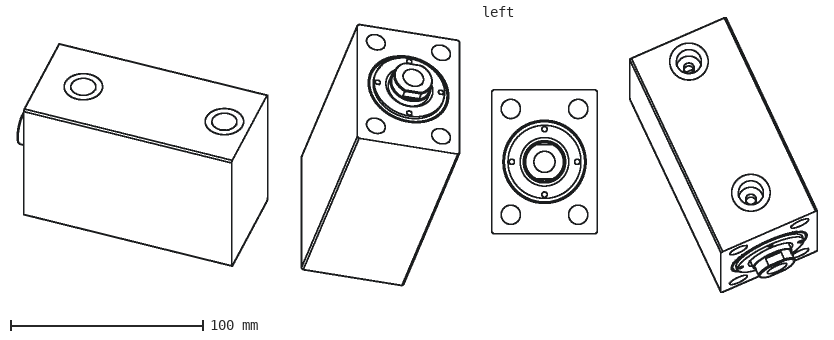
import cadquery as cq
import math

OVERALL_LENGTH = 125.0
HOUSING_WIDTH = 55.0
HOUSING_HEIGHT = 75.0
FACE_X = 10.0
EDGE_CHAMFER = 1.0

BORE_RADIUS = 20.0
BORE_END_X = 111.0
GLAND_RADIUS = 20.9
GLAND_DEPTH = 15.0
SEAT_CHAMFER = 0.8

FLANGE_RADIUS = 19.0
FLANGE_STICKOUT = 1.8
ROD_MOUTH_CHAMFER = 1.6
WRENCH_HOLE_DIAMETER = 2.8
WRENCH_HOLE_DEPTH = 3.8
WRENCH_HOLE_COUNT = 4
WRENCH_CIRCLE_RADIUS = 17.0

ROD_RADIUS = 11.0
TIP_RADIUS = 10.2
TIP_LENGTH = 5.8
TIP_CHAMFER_LENGTH = 0.6
TIP_CHAMFER_HEIGHT = 0.4
FLAT_HALF_WIDTH = 9.2
FLAT_LENGTH = 4.9
ROD_HOLE_DIAMETER = 11.0
ROD_HOLE_DEPTH = 20.0

MOUNT_HOLE_DIAMETER = 10.0
MOUNT_HOLE_DEPTH = 25.0
MOUNT_SPACING_Y = 35.0
MOUNT_SPACING_Z = 55.0

PORT_CENTRES_X = (FACE_X + 23.0, BORE_END_X)
PORT_DIAMETER = 13.0
PORT_DEPTH = 12.0
PORT_SPOTFACE_DIAMETER = 20.0
PORT_SPOTFACE_DEPTH = 0.1
PORT_FEED_DIAMETER = 5.5

DRILL_POINT_ANGLE = 118.0

SEAT_X = FACE_X + GLAND_DEPTH
FLANGE_X = FACE_X - FLANGE_STICKOUT


def revolve_about_x(outline):
    """Turn a closed (x, radius) outline about the X axis."""
    return cq.Workplane("XY").polyline(outline).close().revolve(360, (0, 0, 0), (1, 0, 0))


def drilled_hole(x, y, z, diameter, depth):
    """Blind hole running toward +X, with a conical drill point."""
    radius = diameter / 2
    point_length = radius / math.tan(math.radians(DRILL_POINT_ANGLE / 2))
    outline = [(0, 0), (0, radius), (depth, radius), (depth + point_length, 0)]
    return revolve_about_x(outline).translate((x, y, z))


def oil_port(x):
    """Spotface, port and feed hole whose flat bottom touches the bore's crown."""
    top = HOUSING_HEIGHT / 2
    steps = (
        (PORT_SPOTFACE_DIAMETER, PORT_SPOTFACE_DEPTH),
        (PORT_DIAMETER, PORT_DEPTH),
        (PORT_FEED_DIAMETER, top - BORE_RADIUS),
    )
    port = cq.Workplane("XY")
    for diameter, depth in steps:
        step = cq.Workplane("XY", origin=(x, 0, top)).circle(diameter / 2).extrude(-depth)
        port = port.union(step)
    return port


def make_housing():
    length = OVERALL_LENGTH - FACE_X
    housing = (
        cq.Workplane("XY")
        .box(length, HOUSING_WIDTH, HOUSING_HEIGHT)
        .translate((FACE_X + length / 2, 0, 0))
        .edges("|X")
        .chamfer(EDGE_CHAMFER)
    )
    cavity = revolve_about_x([
        (FACE_X, 0),
        (FACE_X, GLAND_RADIUS + SEAT_CHAMFER),
        (FACE_X + SEAT_CHAMFER, GLAND_RADIUS),
        (SEAT_X, GLAND_RADIUS),
        (SEAT_X, BORE_RADIUS),
        (BORE_END_X, BORE_RADIUS),
        (BORE_END_X, 0),
    ])
    housing = housing.cut(cavity)
    for y in (-MOUNT_SPACING_Y / 2, MOUNT_SPACING_Y / 2):
        for z in (-MOUNT_SPACING_Z / 2, MOUNT_SPACING_Z / 2):
            housing = housing.cut(drilled_hole(FACE_X, y, z, MOUNT_HOLE_DIAMETER, MOUNT_HOLE_DEPTH))
    for x in PORT_CENTRES_X:
        housing = housing.cut(oil_port(x))
    return housing


def make_gland():
    gland = revolve_about_x([
        (FLANGE_X, ROD_RADIUS + ROD_MOUTH_CHAMFER),
        (FLANGE_X, FLANGE_RADIUS),
        (FACE_X, FLANGE_RADIUS),
        (FACE_X, GLAND_RADIUS),
        (SEAT_X, GLAND_RADIUS),
        (SEAT_X, ROD_RADIUS),
        (FLANGE_X + ROD_MOUTH_CHAMFER, ROD_RADIUS),
    ])
    for index in range(WRENCH_HOLE_COUNT):
        angle = 2 * math.pi * index / WRENCH_HOLE_COUNT
        y = WRENCH_CIRCLE_RADIUS * math.cos(angle)
        z = WRENCH_CIRCLE_RADIUS * math.sin(angle)
        gland = gland.cut(drilled_hole(FLANGE_X, y, z, WRENCH_HOLE_DIAMETER, WRENCH_HOLE_DEPTH))
    return gland


def wrench_flat_envelope():
    """Pair of cutters, above and below the axis, that leave two chamfered flats on the rod tip."""
    outline = [
        (0, FLAT_HALF_WIDTH - TIP_CHAMFER_HEIGHT),
        (TIP_CHAMFER_LENGTH, FLAT_HALF_WIDTH),
        (FLAT_LENGTH, FLAT_HALF_WIDTH),
        (FLAT_LENGTH, ROD_RADIUS),
        (0, ROD_RADIUS),
    ]
    upper = cq.Workplane("XZ").polyline(outline).close().extrude(ROD_RADIUS, both=True)
    return upper.union(upper.mirror("XY"))


def make_piston():
    """Rod and piston head turned as one piece, with the head filling the bore."""
    piston = revolve_about_x([
        (0, 0),
        (0, TIP_RADIUS - TIP_CHAMFER_HEIGHT),
        (TIP_CHAMFER_LENGTH, TIP_RADIUS),
        (TIP_LENGTH, TIP_RADIUS),
        (TIP_LENGTH, ROD_RADIUS),
        (SEAT_X, ROD_RADIUS),
        (SEAT_X, BORE_RADIUS),
        (BORE_END_X, BORE_RADIUS),
        (BORE_END_X, 0),
    ])
    piston = piston.cut(wrench_flat_envelope())
    return piston.cut(drilled_hole(0, 0, 0, ROD_HOLE_DIAMETER, ROD_HOLE_DEPTH))


housing = make_housing()
gland = make_gland()
piston = make_piston()
result = cq.Compound.makeCompound([housing.val(), gland.val(), piston.val()])